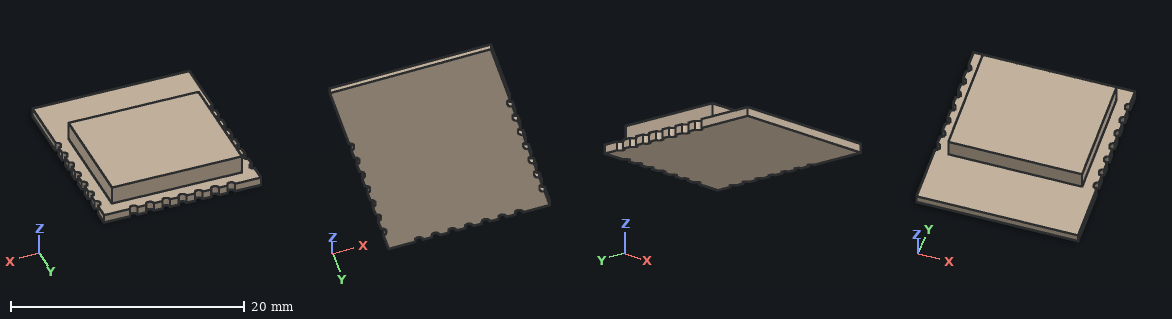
import cadquery as cq

board_width = 14.5
board_length = 16.5
board_thickness = 0.8

total_height = 2.5
shield_width = 12.0
shield_length = 10.0
shield_back_gap = 1.3

notch_radius = 0.35
notch_pitch = 1.5
notches_per_edge = 7
side_row_back_gap = 1.8

back_edge_y = board_length / 2
side_edge_x = board_width / 2


def make_board():
    return cq.Workplane("XY").box(
        board_width, board_length, board_thickness, centered=(True, True, False)
    )


def make_shield():
    center_y = back_edge_y - shield_back_gap - shield_length / 2
    return (
        cq.Workplane("XY", origin=(0, center_y, board_thickness))
        .rect(shield_width, shield_length)
        .extrude(total_height - board_thickness)
    )


def notch_centers():
    row_length = (notches_per_edge - 1) * notch_pitch
    centers = []
    for i in range(notches_per_edge):
        offset = i * notch_pitch
        side_y = back_edge_y - side_row_back_gap - offset
        centers.append((offset - row_length / 2, back_edge_y))
        centers.append((-side_edge_x, side_y))
        centers.append((side_edge_x, side_y))
    return centers


def make_notches():
    return (
        cq.Workplane("XY")
        .pushPoints(notch_centers())
        .circle(notch_radius)
        .extrude(board_thickness)
    )


result = make_board().cut(make_notches()).union(make_shield())